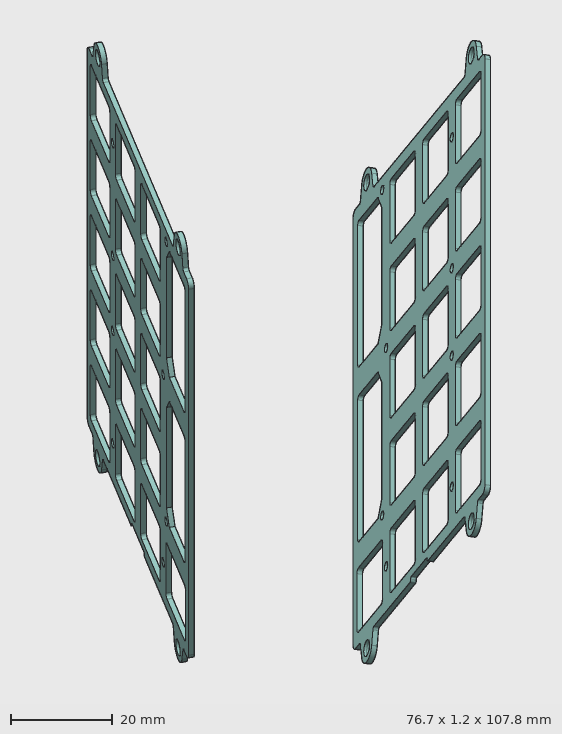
import cadquery as cq
import math

plate_width = 76.7
plate_height = 96.0
thickness = 1.2
plate_corner_radius = 1.5

pitch = 19.1
columns = 4
rows = 5
key_width = 14.8
key_height = 14.0
key_corner_radius = 0.9

tall_width = 13.9
tall_height = 32.0
tall_chamfer_x = 2.2
tall_chamfer_z = 3.2
tall_corner_radius = 0.8

screw_hole_diameter = 1.8
side_screw_x = 21.3
side_screw_offset = 16.5

overall_height = 107.8
ear_x = 30.4
ear_radius = 3.0
ear_base_half_width = 3.8
ear_hole_diameter = 3.3
ear_root_radius = 0.6
ear_overlap = 1.5
ear_center_z = overall_height / 2 - ear_radius

relief_width = 9.6
relief_depth = 1.0
relief_corner_radius = 0.4


def column_x(column):
    """X of a column, counted from the left; halves lie between columns."""
    return (column - (columns - 1) / 2) * pitch


def row_z(row):
    """Z of a row, counted from the top; halves lie between rows."""
    return ((rows - 1) / 2 - row) * pitch


def prism(outline):
    """Extrude an XZ outline symmetrically about Y = 0."""
    return outline.extrude(thickness / 2, both=True)


def sketch_plane():
    return cq.Workplane("XZ")


def round_hole(x, z, diameter):
    return prism(sketch_plane().center(x, z).circle(diameter / 2))


def ear(x, side):
    """Round-ended ear with flared flanks; side is +1 for the top edge, -1 for the bottom."""
    base_z = plate_height / 2
    drop = ear_center_z - base_z
    corner_distance = math.hypot(ear_base_half_width, drop)
    tangent_angle = math.acos(ear_radius / corner_distance) - math.atan2(drop, ear_base_half_width)
    tangent_x = ear_radius * math.cos(tangent_angle)
    tangent_z = side * (ear_center_z + ear_radius * math.sin(tangent_angle))
    root_z = side * base_z
    inner_z = side * (base_z - ear_overlap)
    return prism(
        sketch_plane()
        .moveTo(x - ear_base_half_width, inner_z)
        .lineTo(x - ear_base_half_width, root_z)
        .lineTo(x - tangent_x, tangent_z)
        .threePointArc((x, side * overall_height / 2), (x + tangent_x, tangent_z))
        .lineTo(x + ear_base_half_width, root_z)
        .lineTo(x + ear_base_half_width, inner_z)
        .close()
    )


def key_opening(column, row):
    outline = sketch_plane().center(column_x(column), row_z(row)).rect(key_width, key_height)
    return prism(outline).edges("|Y").fillet(key_corner_radius)


def tall_opening(center_z):
    """Tall opening with both left corners cut off and both right corners rounded."""
    left = -tall_width / 2
    right = tall_width / 2
    top = tall_height / 2
    outline = (
        sketch_plane()
        .center(column_x(columns - 1), center_z)
        .moveTo(left + tall_chamfer_x, top)
        .lineTo(right, top)
        .lineTo(right, -top)
        .lineTo(left + tall_chamfer_x, -top)
        .lineTo(left, -top + tall_chamfer_z)
        .lineTo(left, top - tall_chamfer_z)
        .close()
    )
    return prism(outline).edges("|Y and >X").fillet(tall_corner_radius)


def edges_near(body, points):
    """Select the through-thickness edges standing at the given (x, z) points."""
    reach = 0.05
    selector = None
    for x, z in points:
        box = cq.selectors.BoxSelector(
            (x - reach, -thickness, z - reach), (x + reach, thickness, z + reach)
        )
        selector = box if selector is None else selector + box
    return body.edges("|Y").edges(selector)


body = prism(sketch_plane().rect(plate_width, plate_height)).edges("|Y").fillet(plate_corner_radius)

ear_roots = []
for ear_side in (1, -1):
    for x in (-ear_x, ear_x):
        body = body.union(ear(x, ear_side))
        for flank in (-1, 1):
            ear_roots.append((x + flank * ear_base_half_width, ear_side * plate_height / 2))
body = edges_near(body, ear_roots).fillet(ear_root_radius)
for x in (-ear_x, ear_x):
    for z in (-ear_center_z, ear_center_z):
        body = body.cut(round_hole(x, z, ear_hole_diameter))

bottom_z = -plate_height / 2
body = body.cut(prism(sketch_plane().center(0, bottom_z).rect(relief_width, 2 * relief_depth)))
relief_corners = []
for x in (-relief_width / 2, relief_width / 2):
    for z in (bottom_z, bottom_z + relief_depth):
        relief_corners.append((x, z))
body = edges_near(body, relief_corners).fillet(relief_corner_radius)

for row in range(rows):
    for column in range(columns - 1):
        body = body.cut(key_opening(column, row))
body = body.cut(key_opening(columns - 1, rows - 1))

upper_tall_z = row_z(0.5)
lower_tall_z = row_z(2.5)
for center_z in (upper_tall_z, lower_tall_z):
    body = body.cut(tall_opening(center_z))
body = body.cut(round_hole(side_screw_x, upper_tall_z + side_screw_offset, screw_hole_diameter))
body = body.cut(round_hole(side_screw_x, lower_tall_z - side_screw_offset, screw_hole_diameter))

screw_positions = [(0.5, 0), (0.5, 1.5), (0.5, 2.5), (0.5, 4), (2.5, 1.5), (2.5, 4)]
for column, row in screw_positions:
    body = body.cut(round_hole(column_x(column), row_z(row), screw_hole_diameter))

result = body